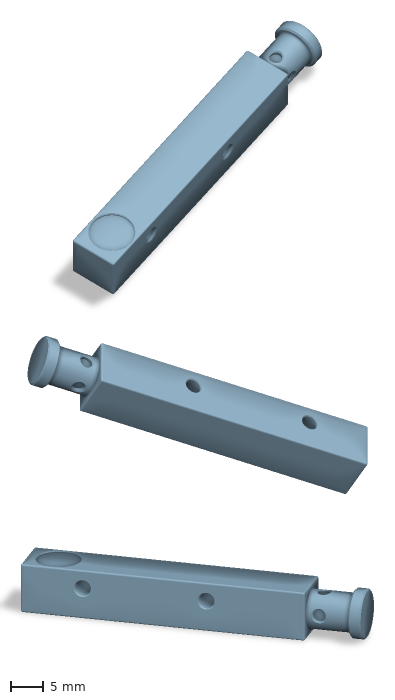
import cadquery as cq

total_length = 55.0
bar_width = 8.0
pin_length = 9.0
bar_length = total_length - pin_length
bar_round = 0.3
front_y = -total_length / 2
bar_end_y = front_y + bar_length
back_y = total_length / 2

head_radius = bar_width / 2
head_thickness = 2.1
head_back_bevel = 0.2
head_front_bevel = 0.3
neck_radius = 3.15
neck_fillet = 0.2

neck_hole_diameter = 2.0
neck_hole_bevel = 0.2
neck_hole_from_bar = 2.05
neck_hole_floor = 2.3

cross_hole_diameter = 2.5
cross_hole_bevel = 0.15
cross_hole_spacing = 20.0
first_cross_hole = 10.0
cross_hole_z = 1.0

recess_diameter = 7.0
recess_bevel = 0.15
recess_depth = 0.35
recess_from_front = 5.0


def make_bar():
    bar = cq.Workplane("XY").box(bar_width, bar_length, bar_width)
    bar = bar.edges().fillet(bar_round)
    return bar.translate((0, front_y + bar_length / 2, 0))


def make_pin():
    """Revolve the headed pin about Y, starting inside the bar so that it fuses."""
    root_y = bar_end_y - bar_round
    flare_radius = neck_radius + neck_fillet
    head_front_y = back_y - head_thickness
    return (
        cq.Workplane("XY")
        .moveTo(0, root_y)
        .lineTo(flare_radius, root_y)
        .lineTo(flare_radius, bar_end_y)
        .radiusArc((neck_radius, bar_end_y + neck_fillet), neck_fillet)
        .lineTo(neck_radius, head_front_y - neck_fillet)
        .radiusArc((flare_radius, head_front_y), neck_fillet)
        .lineTo(head_radius - head_front_bevel, head_front_y)
        .lineTo(head_radius, head_front_y + head_front_bevel)
        .lineTo(head_radius, back_y - head_back_bevel)
        .lineTo(head_radius - head_back_bevel, back_y)
        .lineTo(0, back_y)
        .close()
        .revolve(360, (0, 0, 0), (0, 1, 0))
    )


def beveled_cutter(diameter, depth, bevel):
    """Cutter sunk below Z = 0 with a 45 degree bevel at its mouth."""
    radius = diameter / 2
    mouth_radius = radius + bevel
    return (
        cq.Workplane("XZ")
        .moveTo(0, -depth)
        .lineTo(radius, -depth)
        .lineTo(radius, -bevel)
        .lineTo(mouth_radius, 0)
        .lineTo(0, 0)
        .close()
        .revolve(360, (0, 0, 0), (0, 1, 0))
    )


def drill_neck(pin):
    """Drill four holes at right angles and bevel their curved mouths."""
    hole_y = bar_end_y + neck_hole_from_bar
    cutter = (
        cq.Workplane("XY", origin=(0, hole_y, neck_hole_floor))
        .circle(neck_hole_diameter / 2)
        .extrude(neck_radius)
    )
    for angle in (0, 90, 180, 270):
        pin = pin.cut(cutter.rotate((0, 0, 0), (0, 1, 0), angle))
    return pin.edges("%BSPLINE").chamfer(neck_hole_bevel)


def cut_cross_holes(part):
    half_hole = beveled_cutter(cross_hole_diameter, bar_width / 2, cross_hole_bevel)
    half_hole = half_hole.translate((0, 0, bar_width / 2))
    for hole_y in (front_y + first_cross_hole, front_y + first_cross_hole + cross_hole_spacing):
        for angle in (90, -90):
            cutter = half_hole.rotate((0, 0, 0), (0, 1, 0), angle)
            part = part.cut(cutter.translate((0, hole_y, cross_hole_z)))
    return part


def cut_recess(part):
    cutter = beveled_cutter(recess_diameter, recess_depth, recess_bevel)
    return part.cut(cutter.translate((0, front_y + recess_from_front, bar_width / 2)))


result = make_bar().union(drill_neck(make_pin()))
result = cut_cross_holes(result)
result = cut_recess(result)